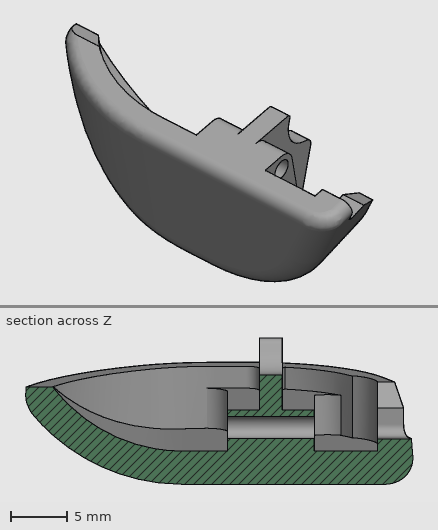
import cadquery as cq
import math

LEAN = 10
THICKNESS = 8.5
HEIGHT = 15.75
OVERSIZE = 20.75

BOTTOM_LEFT_X = 16.88
BOTTOM_RIGHT_X = 20.0
BLEND_RADIUS = 13.45
LEFT_BLEND = 29
LEFT_RADIUS = 23.85
LEFT_TIP = 68.7
RIGHT_RADIUS = 12.95
RIGHT_SLOPE = 66
RAISED_TOP = 5.2

BOW_START_X = 14.07
BOW_RADIUS = 17.5
FRONT_FILLET = 2.5
RIM_FILLET = 1.05
BACK_MARGIN = 0.17

WALL = 2.07
FRONT_WALL = 2.95
POCKET_RIGHT_X = 31.33
POCKET_CURVE_MIDDLE = (30.57, -7.6)
POCKET_CURVE_TOP = -5.88

BLOCK_LEFT = 18.05
BLOCK_RIGHT = 25.75
BLOCK_BACK = 6.55
BLOCK_FILLET = 1.55
PIN_RADIUS = 0.97
PIN_Y = 5.33
CORNER_FILLET = 2.07
LEFT_FILL_MIDDLE = (17.3, -13.25)
LEFT_FILL_TOP = -12.28
RIGHT_FILL_START = -10.03
RIGHT_FILL_LOW = (27.6, -10.25)
RIGHT_FILL_END = (29.15, -8.82)

FIN_LEFT = 20.9
FIN_WIDTH = 2.05
FIN_FRONT = 5.2
FIN_BOTTOM = (11.1, -14.0)
FIN_TOP_CORNER = ((9.92, 0), (10.15, -0.15), (10.2, -0.52))
FIN_NOTCH = ((10.1, -0.95), (10.35, -3.1), (12.1, -4.55))
FIN_HOOK = ((12.75, -4.8), (13.1, -5.1), (13.25, -5.7))
FIN_ROOT_FILLET = 1.15

NOTCH_FRONT = 4.0
NOTCH_RADIUS = 0.97
NOTCH_OVERLAP = 0.7
NOTCH_FLOOR = -3.87
NOTCH_RAMP = 6.45
NOTCH_BACK_FLOOR = -5.67

TIP_SLOPE_FRONT = 7.05
TIP_SLOPE_RUN = 5.2
TIP_SLOPE_DROP = 1.85
TIP_SLOPE_LENGTH = 13.83


def lean(shape):
    return shape.rotate((0, 0, 0), (1, 0, 0), LEAN)


def outline(inset):
    """Prism of the shell outline, moved inward by inset."""
    bottom = inset - HEIGHT
    slope = math.radians(RIGHT_SLOPE)
    blend = math.radians(LEFT_BLEND)
    tip = math.radians(LEFT_TIP)
    left_radius = LEFT_RADIUS - inset
    blend_radius = BLEND_RADIUS - inset
    right_radius = RIGHT_RADIUS - inset
    center_shift = LEFT_RADIUS - BLEND_RADIUS
    left_x = BOTTOM_LEFT_X + center_shift * math.sin(blend)
    left_z = BLEND_RADIUS - HEIGHT + center_shift * math.cos(blend)

    def left_arc(angle):
        return (left_x - left_radius * math.sin(angle),
                left_z - left_radius * math.cos(angle))

    def blend_arc(angle):
        return (BOTTOM_LEFT_X - blend_radius * math.sin(angle),
                bottom + blend_radius * (1 - math.cos(angle)))

    def right_arc(angle):
        return (BOTTOM_RIGHT_X + right_radius * math.sin(angle),
                bottom + right_radius * (1 - math.cos(angle)))

    end_x, end_z = right_arc(slope)
    top_x = end_x + (RAISED_TOP - end_z) / math.tan(slope)
    tip_x, tip_z = left_arc(tip)
    return (
        cq.Workplane("XZ")
        .moveTo(BOTTOM_LEFT_X, bottom)
        .lineTo(BOTTOM_RIGHT_X, bottom)
        .threePointArc(right_arc(slope / 2), (end_x, end_z))
        .lineTo(top_x, RAISED_TOP)
        .lineTo(tip_x, RAISED_TOP)
        .lineTo(tip_x, tip_z)
        .threePointArc(left_arc((tip + blend) / 2), left_arc(blend))
        .threePointArc(blend_arc(blend / 2), (BOTTOM_LEFT_X, bottom))
        .close()
        .extrude(-THICKNESS)
    )


def behind_front(depth):
    """Everything behind the bowed front face moved back by depth."""
    radius = BOW_RADIUS - depth
    diagonal = radius * math.sqrt(0.5)
    right = BOW_START_X + 2 * OVERSIZE
    return (
        cq.Workplane("XY")
        .workplane(offset=-OVERSIZE)
        .moveTo(right, depth)
        .lineTo(BOW_START_X, depth)
        .threePointArc((BOW_START_X - diagonal, BOW_RADIUS - diagonal),
                       (BOW_START_X - radius, BOW_RADIUS))
        .lineTo(right, BOW_RADIUS)
        .close()
        .extrude(2 * OVERSIZE)
    )


def above_top():
    """Everything above the level top plane."""
    return cq.Workplane("XY").box(4 * OVERSIZE, 4 * OVERSIZE, OVERSIZE, (True, True, False))


shell = outline(0).intersect(behind_front(0))
front_edges = cq.selectors.BoxSelector(
    (-0.35, -0.35, -HEIGHT - 0.35),
    (2 * OVERSIZE, THICKNESS - BACK_MARGIN, RAISED_TOP - 0.35))
shell = shell.edges(front_edges).edges("not |Z").fillet(FRONT_FILLET)
shell = lean(shell).cut(above_top())
rim_edges = cq.selectors.BoxSelector(
    (BACK_MARGIN, -0.35, -0.35),
    (2 * OVERSIZE, THICKNESS - BACK_MARGIN, 0.35))
shell = shell.edges(">Z").edges(rim_edges).fillet(RIM_FILLET)


def back_hollow():
    """Hollow open at the back and top, leaving the filleted central block standing."""
    hollow = outline(WALL)
    right_corner = (
        cq.Workplane("XZ")
        .moveTo(*RIGHT_FILL_END)
        .threePointArc(POCKET_CURVE_MIDDLE, (POCKET_RIGHT_X, POCKET_CURVE_TOP))
        .lineTo(POCKET_RIGHT_X, RAISED_TOP)
        .lineTo(RIGHT_FILL_END[0], RAISED_TOP)
        .close()
        .extrude(-THICKNESS)
    )
    hollow = hollow.union(right_corner).intersect(behind_front(FRONT_WALL))
    hollow = hollow.intersect(
        cq.Workplane("XY").box(POCKET_RIGHT_X, OVERSIZE, 3 * OVERSIZE, (False, True, True)))
    block = (
        cq.Workplane("XY")
        .box(BLOCK_RIGHT - BLOCK_LEFT, BLOCK_BACK, 2 * OVERSIZE, (False, False, True))
        .translate((BLOCK_LEFT, 0, 0))
    )
    left_fill = (
        cq.Workplane("XZ")
        .moveTo(BLOCK_LEFT, WALL - HEIGHT - CORNER_FILLET)
        .lineTo(BLOCK_LEFT - CORNER_FILLET, WALL - HEIGHT - CORNER_FILLET)
        .lineTo(BLOCK_LEFT - CORNER_FILLET, WALL - HEIGHT)
        .threePointArc(LEFT_FILL_MIDDLE, (BLOCK_LEFT, LEFT_FILL_TOP))
        .close()
        .extrude(-BLOCK_BACK)
    )
    right_fill = (
        cq.Workplane("XZ")
        .moveTo(BLOCK_RIGHT, -HEIGHT)
        .lineTo(BLOCK_RIGHT, RIGHT_FILL_START)
        .threePointArc(RIGHT_FILL_LOW, RIGHT_FILL_END)
        .lineTo(RIGHT_FILL_END[0], -HEIGHT)
        .close()
        .extrude(-BLOCK_BACK)
    )
    block = block.union(left_fill).union(right_fill)
    for x, side in ((FIN_LEFT, -1), (FIN_LEFT + FIN_WIDTH, 1)):
        floor = WALL - HEIGHT
        root = (
            cq.Workplane("XZ")
            .moveTo(x, floor + FIN_ROOT_FILLET)
            .lineTo(x, floor - FIN_ROOT_FILLET)
            .lineTo(x + side * FIN_ROOT_FILLET, floor - FIN_ROOT_FILLET)
            .lineTo(x + side * FIN_ROOT_FILLET, floor)
            .radiusArc((x, floor + FIN_ROOT_FILLET), side * FIN_ROOT_FILLET)
            .close()
            .extrude(-THICKNESS)
        )
        block = block.union(root)
    return lean(hollow.cut(block))


def block_top_round():
    """Cutter rounding the top back edge of the central block."""
    lean_angle = math.radians(LEAN)
    edge_y = BLOCK_BACK / math.cos(lean_angle)
    slope = math.tan(lean_angle)
    corner = (
        cq.Workplane("YZ")
        .moveTo(edge_y - OVERSIZE / 2, 0)
        .lineTo(edge_y, 0)
        .lineTo(edge_y + OVERSIZE / 2 * slope, -OVERSIZE / 2)
        .lineTo(edge_y - OVERSIZE / 2, -OVERSIZE / 2)
        .close()
        .extrude(BLOCK_RIGHT - BLOCK_LEFT)
    )
    rounded = corner.faces(">Z").edges(">Y").fillet(BLOCK_FILLET)
    return corner.cut(rounded).translate((BLOCK_LEFT, 0, 0))


def fin():
    """Hooked fin with a concave notch at its upper back; its root blends into the floor."""
    return (
        cq.Workplane("YZ")
        .moveTo(FIN_FRONT, 0)
        .lineTo(*FIN_TOP_CORNER[0])
        .threePointArc(*FIN_TOP_CORNER[1:])
        .lineTo(*FIN_NOTCH[0])
        .threePointArc(*FIN_NOTCH[1:])
        .lineTo(*FIN_HOOK[0])
        .threePointArc(*FIN_HOOK[1:])
        .lineTo(*FIN_BOTTOM)
        .lineTo(FIN_FRONT, FIN_BOTTOM[1])
        .close()
        .extrude(FIN_WIDTH)
        .translate((FIN_LEFT, 0, 0))
    )


def pin_hole():
    """Hole along the block, concentric with its rounded top back edge."""
    return (
        cq.Workplane("YZ")
        .center(PIN_Y, -BLOCK_FILLET)
        .circle(PIN_RADIUS)
        .extrude(BLOCK_RIGHT - BLOCK_LEFT)
        .translate((BLOCK_LEFT, 0, 0))
    )


def right_notch():
    """Stepped notch across the right end wall, with a rounded front corner."""
    return lean(
        cq.Workplane("YZ")
        .moveTo(NOTCH_FRONT, OVERSIZE)
        .lineTo(NOTCH_FRONT, NOTCH_FLOOR + NOTCH_RADIUS)
        .radiusArc((NOTCH_FRONT + NOTCH_RADIUS, NOTCH_FLOOR), -NOTCH_RADIUS)
        .lineTo(NOTCH_RAMP, NOTCH_FLOOR)
        .lineTo(THICKNESS, NOTCH_BACK_FLOOR)
        .lineTo(OVERSIZE, NOTCH_BACK_FLOOR)
        .lineTo(OVERSIZE, OVERSIZE)
        .close()
        .extrude(OVERSIZE)
        .translate((POCKET_RIGHT_X - NOTCH_OVERLAP, 0, 0))
    )


def tip_slope():
    """Wedge removed from the top of the left tip."""
    return (
        cq.Workplane("YZ")
        .moveTo(TIP_SLOPE_FRONT, 0)
        .lineTo(TIP_SLOPE_FRONT + TIP_SLOPE_RUN, -TIP_SLOPE_DROP)
        .lineTo(TIP_SLOPE_FRONT + TIP_SLOPE_RUN, 0)
        .close()
        .extrude(TIP_SLOPE_LENGTH)
        .translate((-TIP_SLOPE_LENGTH / 2, 0, 0))
    )


shell = shell.cut(back_hollow()).cut(block_top_round())
shell = shell.union(fin()).cut(pin_hole()).cut(right_notch()).cut(tip_slope())
result = shell